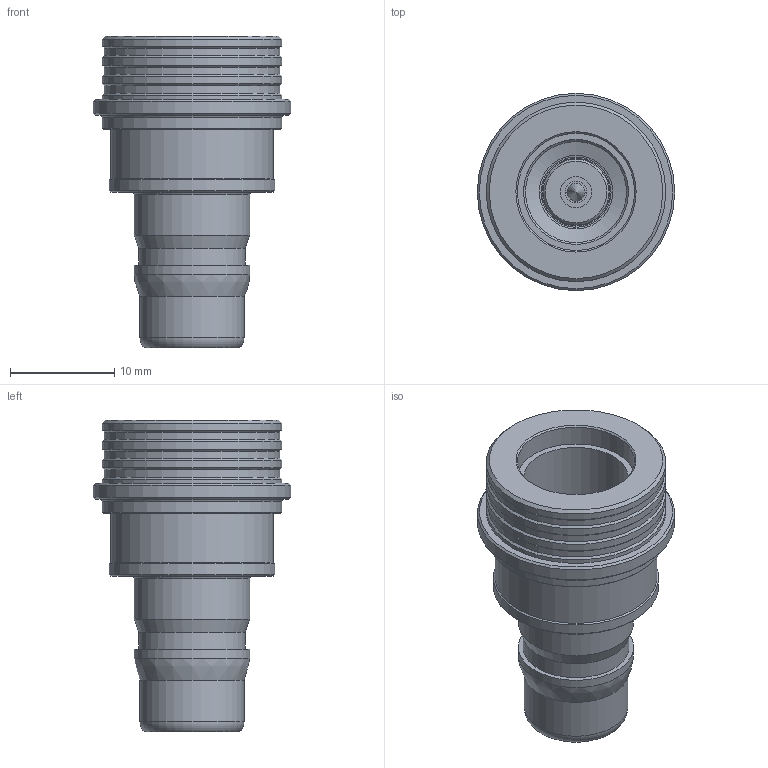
import cadquery as cq
import math

total_height = 29.95

tail_radius = 5.0
tail_nose_height = 0.98
tail_nose_radius = 1.4
bulge_bottom = 4.95
bulge_top = 7.07
barb_top = 7.94
neck_radius = 5.54
latch_groove_radius = 5.11
latch_groove_top = 9.57
latch_taper_top = 10.82

body_bottom = 14.95
body_radius = 7.8
foot_radius = 7.95
foot_top = 16.13
foot_top_chamfer = 0.12
foot_chamfer = 0.15
root_fillet = 0.2

head_radius = 8.62
head_bottom = 21.02
head_chamfer = 0.1
flange_radius = 9.475
flange_bottom = 22.33
flange_top = 23.89
flange_chamfer = 0.19
groove_floor_radius = 8.43
groove_floor_width = 0.69
groove_pitch = 1.82
groove_count = 3
first_groove_floor = 24.47
groove_flank_drop = 0.19
rim_chamfer = 0.29

entry_radius = 5.63
entry_chamfer = 0.15
entry_depth = 2.1
bore_radius = 5.04
bore_floor_chamfer = 0.19
bore_depth = 12.5
floor_cone_angle = 18.5
floor_step_radius = 3.53
floor_step_depth = 0.1
trench_outer_radius = 3.37
trench_depth = 1.0

insulator_radius = 3.17
insulator_chamfer = 0.21
insulator_collar_radius = 3.26
insulator_collar_height = 0.5
pin_well_radius = 1.5
pin_well_depth = 0.5
pin_radius = 1.04
pin_shoulder_height = 0.25
pin_tip_radius = 0.87
pin_tip_angle = 70.0


def tangent_arc_inset(arc_radius, drop):
    """Radial inset of an arc that starts vertical and falls by `drop`."""
    return arc_radius - math.sqrt(arc_radius**2 - drop**2)


def add_groove(profile, floor_bottom):
    """Cut one head groove with sloped flanks into the upward-running outline."""
    floor_top = floor_bottom + groove_floor_width
    profile = profile.lineTo(head_radius, floor_bottom - groove_flank_drop)
    profile = profile.lineTo(groove_floor_radius, floor_bottom)
    profile = profile.lineTo(groove_floor_radius, floor_top)
    return profile.lineTo(head_radius, floor_top + groove_flank_drop)


def revolve(profile):
    """Close a radius-height outline and turn it about the Z axis."""
    return profile.close().revolve(360, (0, 0, 0), (0, 1, 0))


def outer_body():
    """Solid outside of the part, outlined from the base up to the top face."""
    nose_end_radius = tail_radius - tangent_arc_inset(tail_nose_radius, tail_nose_height)
    profile = cq.Workplane("XZ").lineTo(nose_end_radius, 0)
    profile = profile.radiusArc((tail_radius, tail_nose_height), -tail_nose_radius)

    bulge_inset = neck_radius - tail_radius
    bulge_drop = bulge_top - bulge_bottom
    bulge_arc_radius = (bulge_drop**2 + bulge_inset**2) / (2 * bulge_inset)
    profile = (
        profile.lineTo(tail_radius, bulge_bottom)
        .radiusArc((neck_radius, bulge_top), -bulge_arc_radius)
        .lineTo(neck_radius, barb_top)
        .lineTo(latch_groove_radius, barb_top)
        .lineTo(latch_groove_radius, latch_groove_top)
        .lineTo(neck_radius, latch_taper_top)
    )

    profile = (
        profile.lineTo(neck_radius, body_bottom - root_fillet)
        .radiusArc((neck_radius + root_fillet, body_bottom), root_fillet)
        .lineTo(foot_radius - foot_chamfer, body_bottom)
        .lineTo(foot_radius, body_bottom + foot_chamfer)
        .lineTo(foot_radius, foot_top)
        .lineTo(body_radius, foot_top + foot_top_chamfer)
        .lineTo(body_radius, head_bottom)
    )

    profile = (
        profile.lineTo(head_radius - head_chamfer, head_bottom)
        .lineTo(head_radius, head_bottom + head_chamfer)
        .lineTo(head_radius, flange_bottom - root_fillet)
        .radiusArc((head_radius + root_fillet, flange_bottom), root_fillet)
        .lineTo(flange_radius - flange_chamfer, flange_bottom)
        .lineTo(flange_radius, flange_bottom + flange_chamfer)
        .lineTo(flange_radius, flange_top - flange_chamfer)
        .lineTo(flange_radius - flange_chamfer, flange_top)
        .lineTo(head_radius, flange_top)
    )

    for index in range(groove_count):
        profile = add_groove(profile, first_groove_floor + index * groove_pitch)
    profile = (
        profile.lineTo(head_radius, total_height - rim_chamfer)
        .lineTo(head_radius - rim_chamfer, total_height)
        .lineTo(0, total_height)
    )
    return revolve(profile)


def socket():
    """Space removed from the top, leaving the insulator and pin standing."""
    entry_floor = total_height - entry_depth
    cone_outer_radius = bore_radius - bore_floor_chamfer
    cone_top = total_height - bore_depth
    cone_slope = math.tan(math.radians(floor_cone_angle))
    step_top = cone_top - (cone_outer_radius - floor_step_radius) * cone_slope
    step_bottom = step_top - floor_step_depth
    insulator_top = step_bottom - (floor_step_radius - trench_outer_radius) * cone_slope
    trench_floor = insulator_top - trench_depth
    collar_top = trench_floor + insulator_collar_height
    well_floor = insulator_top - pin_well_depth
    pin_shoulder = well_floor + pin_shoulder_height
    pin_tip = pin_shoulder + pin_tip_radius * math.tan(math.radians(pin_tip_angle))

    profile = (
        cq.Workplane("XZ")
        .moveTo(0, total_height)
        .lineTo(entry_radius + entry_chamfer, total_height)
        .lineTo(entry_radius, total_height - entry_chamfer)
        .lineTo(entry_radius, entry_floor)
        .lineTo(bore_radius, entry_floor)
        .lineTo(bore_radius, cone_top + bore_floor_chamfer)
        .lineTo(cone_outer_radius, cone_top)
        .lineTo(floor_step_radius, step_top)
        .lineTo(floor_step_radius, step_bottom)
        .lineTo(trench_outer_radius, insulator_top)
        .lineTo(trench_outer_radius, trench_floor)
        .lineTo(insulator_collar_radius, trench_floor)
        .lineTo(insulator_collar_radius, collar_top)
        .lineTo(insulator_radius, collar_top)
        .lineTo(insulator_radius, insulator_top - insulator_chamfer)
        .lineTo(insulator_radius - insulator_chamfer, insulator_top)
        .lineTo(pin_well_radius, insulator_top)
        .lineTo(pin_well_radius, well_floor)
        .lineTo(pin_radius, well_floor)
        .lineTo(pin_radius, pin_shoulder)
        .lineTo(pin_tip_radius, pin_shoulder)
        .lineTo(0, pin_tip)
    )
    return revolve(profile)


result = outer_body().cut(socket())